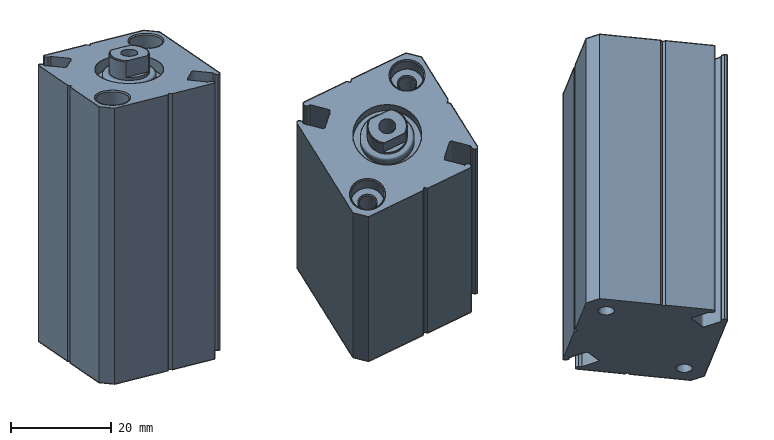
import cadquery as cq
import math

total_height = 64.0
rod_projection = 3.6
body_width = 29.0
body_height = total_height - rod_projection
half_width = body_width / 2

corner_chamfer = 2.3
slot_width = 4.5
slot_mouth_width = 3.5
slot_floor_distance = 12.35
slot_floor_round = 0.5
lip_thickness = 1.15
lip_end = 11.3
lip_round = 0.45
notch_offset = 0.7
notch_depth = 0.5

mount_offset = 9.9
mount_hole_diameter = 3.3
counterbore_diameter = 6.65
counterbore_depth = 3.5
mount_chamfer = 0.25

recess_diameter = 13.7
recess_depth = 2.4
collar_diameter = 10.75
collar_drop = 0.65
collar_round = 0.45

rod_diameter = 8.0
rod_flat_width = 6.1
rod_insertion = 16.0
rod_chamfer = 0.2
rod_bore_diameter = 3.3
rod_bore_depth = 8.0


def corner_slot():
    """Undercut slot through the +X +Y corner, open to both sides of that corner."""
    diagonal = math.sqrt(2)
    wall_shift = slot_width / 2 * diagonal
    mouth_shift = slot_mouth_width / 2 * diagonal
    floor_sum = slot_floor_distance * diagonal
    lip_inside = half_width - lip_thickness
    upper_side = [
        ((floor_sum - wall_shift) / 2, (floor_sum + wall_shift) / 2),
        (lip_inside - wall_shift, lip_inside),
        (lip_inside - mouth_shift, lip_inside),
        (lip_end, lip_end + mouth_shift),
        (lip_end, half_width),
    ]
    lower_side = [(y, x) for x, y in reversed(upper_side)]
    outline = upper_side + [(half_width, half_width)] + lower_side
    slot = cq.Workplane("XY").polyline(outline).close().extrude(-body_height)
    for x, y in (upper_side[0], lower_side[-1]):
        floor_corner = cq.selectors.NearestToPointSelector((x, y, -body_height / 2))
        slot = slot.edges(floor_corner).fillet(slot_floor_round)
    return slot


def side_notch(angle):
    """90 degree V-groove along the +X side, a little off centre, turned about Z by angle."""
    outline = [
        (half_width, notch_offset - notch_depth),
        (half_width - notch_depth, notch_offset),
        (half_width, notch_offset + notch_depth),
    ]
    groove = cq.Workplane("XY").polyline(outline).close().extrude(-body_height)
    return groove.rotate((0, 0, 0), (0, 0, 1), angle)


def mounting_hole(x, y):
    """Through hole with a counterbore at the top, both edges chamfered."""
    hole_radius = mount_hole_diameter / 2
    bore_radius = counterbore_diameter / 2
    half_section = [
        (0, 0),
        (bore_radius + mount_chamfer, 0),
        (bore_radius, -mount_chamfer),
        (bore_radius, -counterbore_depth),
        (hole_radius + mount_chamfer, -counterbore_depth),
        (hole_radius, -counterbore_depth - mount_chamfer),
        (hole_radius, -body_height),
        (0, -body_height),
    ]
    cutter = cq.Workplane("XZ").polyline(half_section).close().revolve(360, (0, 0), (0, 1))
    return cutter.translate((x, y, 0))


def collar_recess():
    """Round recess that leaves the rod collar standing on its floor."""
    collar_height = recess_depth - collar_drop
    collar = (
        cq.Workplane("XY", origin=(0, 0, -recess_depth))
        .circle(collar_diameter / 2)
        .extrude(collar_height)
        .faces(">Z")
        .edges()
        .fillet(collar_round)
    )
    return cq.Workplane("XY").circle(recess_diameter / 2).extrude(-recess_depth).cut(collar)


def make_housing():
    body = cq.Workplane("XY").rect(body_width, body_width).extrude(-body_height)
    for x_side in (-1, 1):
        corner = cq.selectors.NearestToPointSelector(
            (x_side * half_width, -x_side * half_width, -body_height / 2)
        )
        body = body.edges(corner).chamfer(corner_chamfer)

    slot = corner_slot()
    for angle in (0, 180):
        body = body.cut(slot.rotate((0, 0, 0), (0, 0, 1), angle))
    for side in (-1, 1):
        for x, y in ((lip_end, half_width), (half_width, lip_end)):
            lip_edge = cq.selectors.NearestToPointSelector((side * x, side * y, -body_height / 2))
            body = body.edges(lip_edge).fillet(lip_round)

    for angle in (0, 180, -90):
        body = body.cut(side_notch(angle))

    for x_side in (-1, 1):
        body = body.cut(mounting_hole(x_side * mount_offset, -x_side * mount_offset))

    rod_hole = cq.Workplane("XY").circle(rod_diameter / 2).extrude(-rod_insertion)
    return body.cut(collar_recess()).cut(rod_hole)


def make_rod():
    rod = (
        cq.Workplane("XY", origin=(0, 0, -rod_insertion))
        .circle(rod_diameter / 2)
        .extrude(rod_insertion + rod_projection)
        .faces(">Z")
        .edges()
        .chamfer(rod_chamfer)
    )
    flat_depth = (rod_diameter - rod_flat_width) / 2
    for side in (-1, 1):
        flat = cq.Workplane("XY").box(
            flat_depth, rod_diameter, rod_projection, centered=(True, True, False)
        )
        rod = rod.cut(flat.translate((side * (rod_flat_width + flat_depth) / 2, 0, 0)))
    return rod.faces(">Z").workplane(origin=(0, 0, 0)).hole(rod_bore_diameter, rod_bore_depth)


housing = make_housing()
piston_rod = make_rod()
result = cq.Compound.makeCompound([housing.val(), piston_rod.val()])